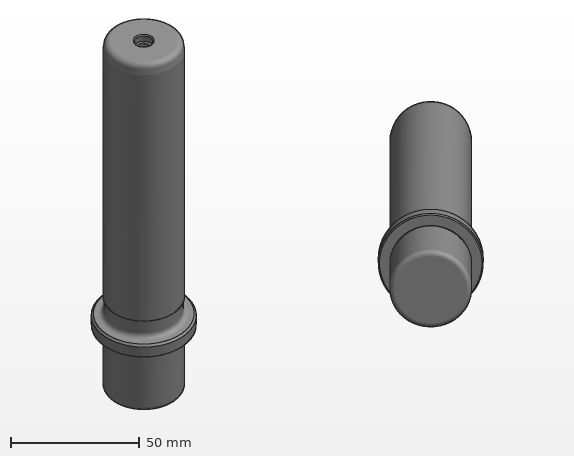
import cadquery as cq
import math

length = 170.0
body_radius = 16.0
flange_radius = 20.48

foot_rounding = 2.0
undercut_depth = 0.5
undercut_height = 0.8

flange_bottom = 30.0
flange_top = 36.0
flange_chamfer = 0.8
flange_lower_chamfer = 0.5

neck_radius = 15.5
neck_fillet = 2.2
neck_top = 44.5
body_edge_chamfer = 0.5

lead_length = 5.0
lead_radius = 15.6
top_rounding = 2.5

countersink_radius = 4.0
recess_radius = 3.5
recess_depth = 3.0
hole_radius = 2.4
hole_depth = 11.9
drill_point_angle = 120.0

diagonal = math.sqrt(0.5)


def make_pillar():
    """Revolve the half outline of the pillar around Z."""
    undercut_radius = body_radius - undercut_depth
    foot_corner = body_radius - foot_rounding
    neck_corner = neck_radius + neck_fillet
    top_corner = lead_radius - top_rounding
    flange_face_radius = flange_radius - flange_chamfer
    outline = (
        cq.Workplane("XZ")
        .moveTo(0, 0)
        .lineTo(foot_corner, 0)
        .threePointArc(
            (foot_corner + foot_rounding * diagonal, foot_rounding * (1 - diagonal)),
            (body_radius, foot_rounding),
        )
        .lineTo(body_radius, flange_bottom - undercut_height)
        .lineTo(undercut_radius, flange_bottom - undercut_height + undercut_depth)
        .lineTo(undercut_radius, flange_bottom)
        .lineTo(flange_radius - flange_lower_chamfer, flange_bottom)
        .lineTo(flange_radius, flange_bottom + flange_lower_chamfer)
        .lineTo(flange_radius, flange_top - flange_chamfer)
        .lineTo(flange_face_radius, flange_top)
        .lineTo(neck_corner, flange_top)
        .threePointArc(
            (neck_corner - neck_fillet * diagonal, flange_top + neck_fillet * (1 - diagonal)),
            (neck_radius, flange_top + neck_fillet),
        )
        .lineTo(neck_radius, neck_top - body_edge_chamfer)
        .lineTo(body_radius, neck_top)
        .lineTo(body_radius, length - lead_length)
        .lineTo(lead_radius, length - top_rounding)
        .threePointArc(
            (top_corner + top_rounding * diagonal, length - top_rounding * (1 - diagonal)),
            (top_corner, length),
        )
        .lineTo(0, length)
        .close()
    )
    return outline.revolve(360, (0, 0, 0), (0, 1, 0))


def make_centre_hole():
    """Countersunk, flat-bottomed recess leading into a blind hole with a conical point."""
    countersink_depth = countersink_radius - recess_radius
    point_depth = hole_radius / math.tan(math.radians(drill_point_angle / 2))
    outline = (
        cq.Workplane("XZ")
        .moveTo(0, length)
        .lineTo(countersink_radius, length)
        .lineTo(recess_radius, length - countersink_depth)
        .lineTo(recess_radius, length - recess_depth)
        .lineTo(hole_radius, length - recess_depth)
        .lineTo(hole_radius, length - hole_depth)
        .lineTo(0, length - hole_depth - point_depth)
        .close()
    )
    return outline.revolve(360, (0, 0, 0), (0, 1, 0))


result = make_pillar().cut(make_centre_hole())